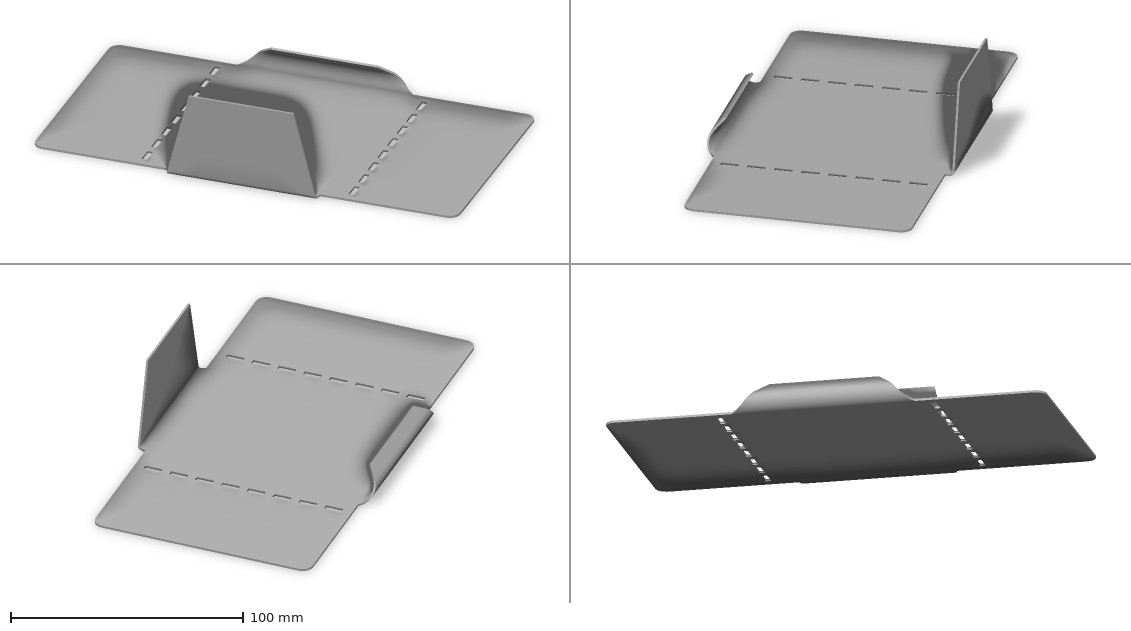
import cadquery as cq
import math

sheet = 1.0
plate_length = 195.0
plate_width = 101.0
corner_radius = 5.0

slot_width = 2.5
slot_length = 8.0
slot_pitch = 12.0
slots_per_row = 8
row_spacing = 95.0

tab_height = 40.0
tab_lead = 2.0
tab_outer_radius = 2.0
tab_bend_angle = 90.0
tab_root_width = 70.0
tab_tip_width = 48.0

hook_outer_radius = 5.0
hook_bend_angle = 135.0
hook_arm = 5.6
hook_root_width = 81.0
hook_side_slope = 1.0

cut_margin = 0.5


def middle_arc_length(outer_radius, angle):
    """Length of a bend along the middle of the sheet."""
    return math.radians(angle) * (outer_radius - sheet / 2)


def tapered_sheet(root_half, tip_half, length):
    """Flat trapezoid starting at Y = 0 and running along +Y, symmetric about X = 0."""
    outline = [(-root_half, 0), (root_half, 0), (tip_half, length), (-tip_half, length)]
    return cq.Workplane("XY").polyline(outline).close().extrude(sheet)


def ring_sector(inner, outer, start, end, x_position):
    """Closed ring sector around the X axis; angles run from -Z towards +Y."""

    def on_circle(radius, angle):
        a = math.radians(angle)
        return (radius * math.sin(a), -radius * math.cos(a))

    middle = (start + end) / 2
    return (
        cq.Workplane("YZ", origin=(x_position, 0, 0))
        .moveTo(*on_circle(inner, start))
        .lineTo(*on_circle(outer, start))
        .threePointArc(on_circle(outer, middle), on_circle(outer, end))
        .lineTo(*on_circle(inner, end))
        .threePointArc(on_circle(inner, middle), on_circle(inner, start))
        .close()
    )


def tapered_bend(root_half, tip_half, outer_radius, angle):
    """Bend around the X axis whose side edges close in evenly with the bend angle."""
    inner_radius = outer_radius - sheet
    bend = ring_sector(inner_radius, outer_radius, 0, angle, -root_half).extrude(2 * root_half)
    trim = ring_sector(
        inner_radius - cut_margin, outer_radius + cut_margin, angle, 2 * angle, tip_half
    ).twistExtrude(root_half - tip_half, -angle)
    return bend.cut(trim).cut(trim.mirror("YZ"))


def bent_flange(root_half, slope, lead, outer_radius, angle, arm):
    """Flange leaving Y = 0 towards +Y: flat lead, upward bend and straight arm."""
    bend_start_half = root_half - slope * lead
    bend_end_half = bend_start_half - slope * middle_arc_length(outer_radius, angle)
    tip_half = bend_end_half - slope * arm

    bend_centre = (0, lead, outer_radius)
    bend = tapered_bend(bend_start_half, bend_end_half, outer_radius, angle)
    flange = bend.translate(bend_centre)
    arm_sheet = (
        tapered_sheet(bend_end_half, tip_half, arm)
        .translate((0, 0, -outer_radius))
        .rotate((0, 0, 0), (1, 0, 0), angle)
        .translate(bend_centre)
    )
    flange = flange.union(arm_sheet)
    if lead > 0:
        flange = flange.union(tapered_sheet(root_half, bend_start_half, lead))
    return flange


def base_plate():
    plate = cq.Workplane("XY").box(plate_length, plate_width, sheet, centered=(True, True, False))
    plate = plate.edges("|Z").fillet(corner_radius)
    slots = (
        cq.Workplane("XY")
        .rarray(row_spacing, slot_pitch, 2, slots_per_row)
        .rect(slot_width, slot_length)
        .extrude(sheet)
    )
    return plate.cut(slots)


def front_tab():
    wall = tab_height - tab_outer_radius
    flat_length = tab_lead + middle_arc_length(tab_outer_radius, tab_bend_angle) + wall
    slope = (tab_root_width - tab_tip_width) / 2 / flat_length
    tab = bent_flange(
        tab_root_width / 2, slope, tab_lead, tab_outer_radius, tab_bend_angle, wall
    )
    return tab.rotate((0, 0, 0), (0, 0, 1), 180).translate((0, -plate_width / 2, 0))


def rear_hook():
    hook = bent_flange(
        hook_root_width / 2, hook_side_slope, 0, hook_outer_radius, hook_bend_angle, hook_arm
    )
    return hook.translate((0, plate_width / 2, 0))


result = base_plate().union(front_tab()).union(rear_hook())